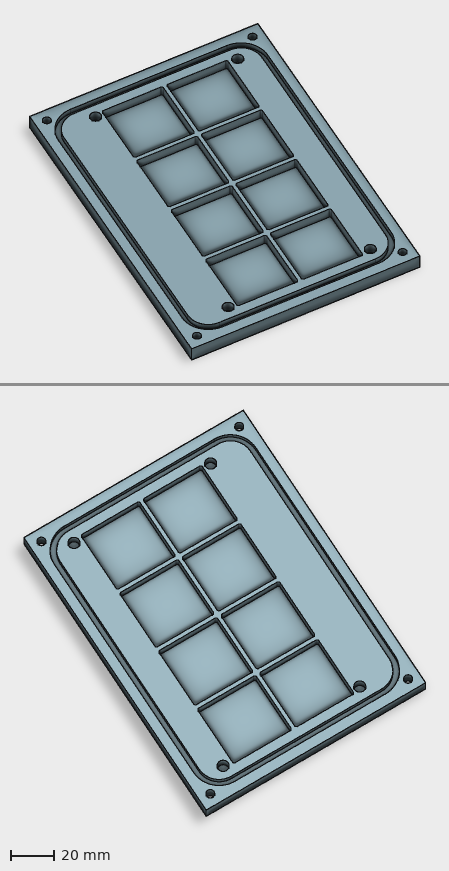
import cadquery as cq

plate_length = 160.0
plate_width = 120.0
plate_thickness = 8.0

groove_inset_x = 5.1
groove_inset_y = 5.0
groove_width = 3.0
groove_depth = 3.0
groove_outer_radius = 14.0

corner_hole_diameter = 4.2
corner_hole_inset = 6.0

pocket_columns = 4
pocket_rows = 2
pocket_size = 32.0
pocket_depth = 5.8
pocket_corner_radius = 1.0
pocket_side_margin = 13.0
pocket_grid_shift = 4.0
pocket_span = plate_length - 2 * pocket_side_margin
rib_width = (pocket_span - pocket_columns * pocket_size) / (pocket_columns - 1)
pocket_pitch = pocket_size + rib_width

blind_hole_diameter = 5.6
blind_hole_depth = pocket_depth
blind_hole_spacing_x = 130.9
blind_hole_spacing_y = 74.7
blind_hole_shift = 4.3


def rounded_block(length, width, height, radius):
    """Block standing on Z = 0 with rounded vertical edges."""
    block = cq.Workplane("XY").box(length, width, height, centered=(True, True, False))
    return block.edges("|Z").fillet(radius)


def make_plate():
    return cq.Workplane("XY").box(plate_length, plate_width, plate_thickness, centered=(True, True, False))


def make_groove():
    outer_length = plate_length - 2 * groove_inset_x
    outer_width = plate_width - 2 * groove_inset_y
    outer = rounded_block(outer_length, outer_width, groove_depth, groove_outer_radius)
    island = rounded_block(
        outer_length - 2 * groove_width,
        outer_width - 2 * groove_width,
        groove_depth,
        groove_outer_radius - groove_width,
    )
    return outer.cut(island).translate((0, 0, plate_thickness - groove_depth))


def cut_pockets(body):
    pocket = rounded_block(pocket_size, pocket_size, pocket_depth, pocket_corner_radius)
    floor = plate_thickness - pocket_depth
    for column in range(pocket_columns):
        for row in range(pocket_rows):
            x = (column - (pocket_columns - 1) / 2) * pocket_pitch
            y = (row - (pocket_rows - 1) / 2) * pocket_pitch + pocket_grid_shift
            body = body.cut(pocket.translate((x, y, floor)))
    return body


def hole_pattern(spacing_x, spacing_y, shift_y, diameter, depth):
    """Four cylinders at the corners of a rectangle, sunk from the top face."""
    return (
        cq.Workplane("XY", origin=(0, shift_y, plate_thickness))
        .rect(spacing_x, spacing_y, forConstruction=True)
        .vertices()
        .circle(diameter / 2)
        .extrude(-depth)
    )


corner_holes = hole_pattern(
    plate_length - 2 * corner_hole_inset,
    plate_width - 2 * corner_hole_inset,
    0,
    corner_hole_diameter,
    plate_thickness,
)
blind_holes = hole_pattern(
    blind_hole_spacing_x,
    blind_hole_spacing_y,
    blind_hole_shift,
    blind_hole_diameter,
    blind_hole_depth,
)

result = cut_pockets(make_plate().cut(make_groove()))
result = result.cut(corner_holes).cut(blind_holes)